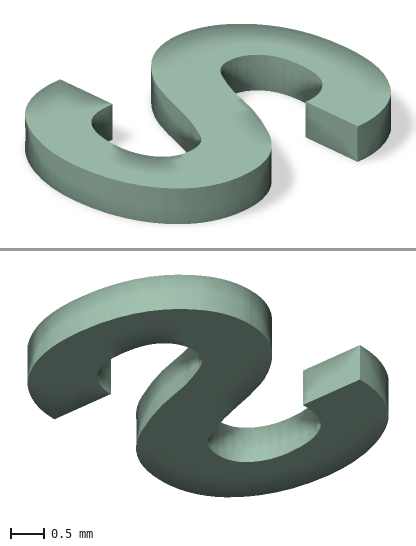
import cadquery as cq

width = 4.24
height = 5.68
thickness = 0.6

upper_end_y = 3.98
upper_end_inner_x = 3.1
upper_left_x = 0.16
upper_left_y = 4.145
upper_inner_left_x = 1.305
upper_top_x = 2.19
upper_inner_top_y = 4.77

lower_end_y = 1.825
lower_end_inner_x = 1.15
lower_right_y = 1.54
lower_inner_right_x = 3.09
lower_bottom_x = 2.23
lower_inner_bottom_y = 0.905

upper_arm_outer = [
    ((width, 4.545), (3.86, 5.02)),
    ((3.725, 5.2), (3.41, 5.39)),
    ((2.925, height), (upper_top_x, height)),
]
upper_bowl_outer = [
    ((1.0, height), (0.425, 4.94)),
    ((upper_left_x, 4.605), (upper_left_x, upper_left_y)),
]
lower_diagonal = [
    ((upper_left_x, 3.34), (1.075, 2.785)),
    ((1.32, 2.635), (2.04, 2.4)),
    ((2.43, 2.27), (2.84, 2.04)),
    ((lower_inner_right_x, 1.89), (lower_inner_right_x, lower_right_y)),
]
lower_counter = [
    ((lower_inner_right_x, 1.23), (2.845, 1.07)),
    ((2.6, lower_inner_bottom_y), (lower_bottom_x, lower_inner_bottom_y)),
    ((1.7, lower_inner_bottom_y), (1.4, 1.14)),
    ((lower_end_inner_x, 1.345), (lower_end_inner_x, lower_end_y)),
]
lower_arm_outer = [
    ((0, 1.31), (0.26, 0.9)),
    ((0.505, 0.505), (1.095, 0.24)),
    ((1.63, 0), (lower_bottom_x, 0)),
]
lower_bowl_outer = [
    ((3.13, 0), (3.7, 0.425)),
    ((width, 0.835), (width, lower_right_y)),
]
upper_diagonal = [
    ((width, 2.39), (3.48, 2.85)),
    ((2.895, 3.205), (2.39, 3.34)),
    ((2.01, 3.44), (1.6, 3.67)),
    ((upper_inner_left_x, 3.835), (upper_inner_left_x, upper_left_y)),
]
upper_counter = [
    ((upper_inner_left_x, 4.44), (1.57, 4.63)),
    ((1.77, upper_inner_top_y), (upper_top_x, upper_inner_top_y)),
    ((2.61, upper_inner_top_y), (2.835, 4.585)),
    ((upper_end_inner_x, 4.35), (upper_end_inner_x, upper_end_y)),
]


def follow(outline, arcs):
    """Continue the outline along a chain of parabolic arcs."""
    for control, end in arcs:
        outline = outline.bezier([control, end], includeCurrent=True)
    return outline


outline = cq.Workplane("XY").moveTo(width, upper_end_y)

for edge in (upper_arm_outer, upper_bowl_outer, lower_diagonal, lower_counter):
    outline = follow(outline, edge)

outline = outline.lineTo(0, lower_end_y)

for edge in (lower_arm_outer, lower_bowl_outer, upper_diagonal, upper_counter):
    outline = follow(outline, edge)

result = outline.close().extrude(thickness)